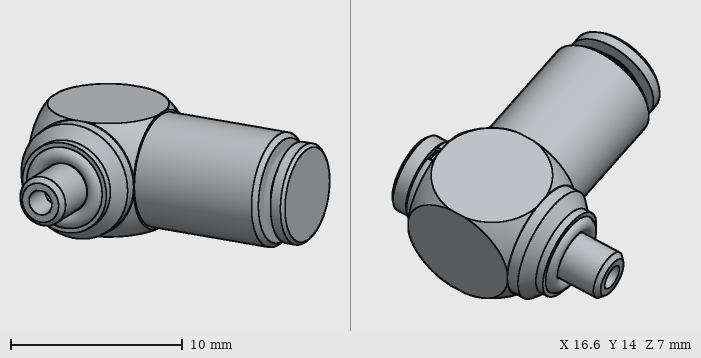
import cadquery as cq
import math

overall_length = 16.6
overall_width = 14.0

block_side = 7.0
block_half = block_side / 2
corner_ball_radius = 4.98

sleeve_radius = 3.4
sleeve_end = 11.5
sleeve_chamfer = 0.3
lip_radius = 2.4
lip_length = 0.13
neck_radius = 1.85
button_taper = 0.2
button_start = 12.25
button_radius = 3.0
button_end = overall_length - block_half
button_chamfer = 0.2

collar_end = 4.25
flange_radius = 2.75
flange_start = 5.0
flange_end = 5.5
stem_radius = 1.5
stem_end = 8.5
stem_chamfer = 0.3
seal_tube_radius = 0.5
seal_center_radius = stem_radius + seal_tube_radius
seal_center = 5.4
bore_radius = 0.75
bore_depth = 2.0
bore_tip_angle = 118.0

cap_radius = 2.45
cap_start = 4.4
cap_end = overall_width - stem_end
cap_chamfer = 0.2
groove_radius = 2.1
shoulder_end = 4.12
clip_radius = 2.7
clip_tube_radius = 0.35
clip_center = 3.98
clip_gap = 1.0


def revolve_y(profile):
    """Revolve (radius, y) points about the Y axis."""
    return cq.Workplane("XY").polyline(profile).close().revolve(360, (0, 0), (0, 1))


def revolve_x(profile):
    """Revolve (x, radius) points about the X axis."""
    return cq.Workplane("XY").polyline(profile).close().revolve(360, (0, 0), (1, 0))


def ring_y(center_radius, tube_radius, y):
    """Round-section ring about the Y axis."""
    section = cq.Workplane("XY").center(center_radius, y).circle(tube_radius)
    return section.revolve(360, (-center_radius, 0), (-center_radius, 1))


def make_block():
    ball = cq.Workplane("XY").sphere(corner_ball_radius)
    return cq.Workplane("XY").box(block_side, block_side, block_side).intersect(ball)


def make_sleeve():
    return revolve_x([
        (0, 0),
        (0, sleeve_radius),
        (sleeve_end - sleeve_chamfer, sleeve_radius),
        (sleeve_end, sleeve_radius - sleeve_chamfer),
        (sleeve_end, lip_radius),
        (sleeve_end + lip_length, neck_radius),
        (button_start - button_taper, neck_radius),
        (button_start, neck_radius + button_taper),
        (button_start, button_radius),
        (button_end - button_chamfer, button_radius),
        (button_end, button_radius - button_chamfer),
        (button_end, 0),
    ])


def make_stem():
    body = revolve_y([
        (0, 0),
        (block_half, 0),
        (block_half, -collar_end),
        (flange_radius, -flange_start),
        (flange_radius, -flange_end),
        (stem_radius, -flange_end),
        (stem_radius, -stem_end + stem_chamfer),
        (stem_radius - stem_chamfer, -stem_end),
        (0, -stem_end),
    ])
    return body.union(ring_y(seal_center_radius, seal_tube_radius, -seal_center))


def make_bore():
    """Blind drilled hole with a conical bottom."""
    tip_length = bore_radius / math.tan(math.radians(bore_tip_angle / 2))
    bottom = bore_depth - stem_end
    return revolve_y([
        (0, -stem_end),
        (bore_radius, -stem_end),
        (bore_radius, bottom),
        (0, bottom + tip_length),
    ])


def make_cap():
    """Cap above a shoulder that tapers into a narrow groove."""
    return revolve_y([
        (0, 0),
        (cap_radius, 0),
        (cap_radius, shoulder_end),
        (groove_radius, cap_start),
        (cap_radius, cap_start),
        (cap_radius, cap_end - cap_chamfer),
        (cap_radius - cap_chamfer, cap_end),
        (0, cap_end),
    ])


def make_clip():
    """Retaining ring, open on its +Z side."""
    ring = ring_y(clip_radius - clip_tube_radius, clip_tube_radius, clip_center)
    gap = cq.Workplane("XY").box(clip_gap, block_side, block_side, centered=(True, True, False))
    return ring.cut(gap.translate((0, clip_center, 0)))


result = make_block().union(make_sleeve()).union(make_stem())
result = result.union(make_cap()).union(make_clip()).cut(make_bore())